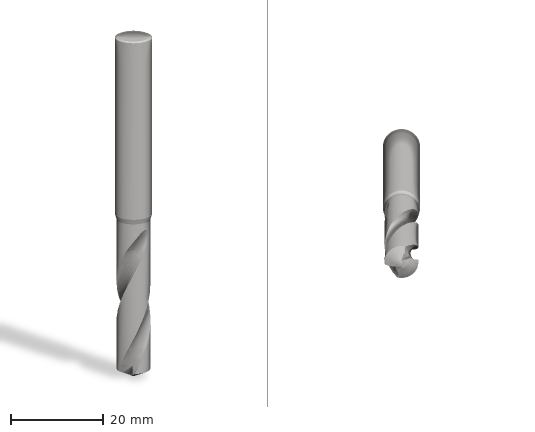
import cadquery as cq

total_length = 78.0
point_height = 1.8
head_top = 19.4
flute_helix_top = 29.6
flute_end = 34.55
neck_top = 36.1
shank_bottom = 37.3

shank_diameter = 8.0
drill_diameter = 7.3
end_chamfer = 0.5
end_chamfer_height = 0.2

flute_count = 2
flute_pitch = 46.8
flute_radius = 2.35
flute_center_radius = 4.3
flute_start_angle = 94.0
runout_outward_shift = 0.5
runout_sideways_shift = 3.75

gash_root = cq.Vector(-0.3, -0.6, 0.55)
gash_lip_corner = cq.Vector(2.2, -2.1, 1.5)
gash_heel_corner = cq.Vector(-0.6, -2.35, 1.25)
gash_top = cq.Vector(1.4, -1.55, 3.3)
gash_lower_overrun = 0.5

shank_radius = shank_diameter / 2
drill_radius = drill_diameter / 2
flute_angles = [flute_start_angle + i * 360 / flute_count for i in range(flute_count)]


def turned(profile):
    """Revolve a closed (radius, height) profile around the Z axis."""
    return cq.Workplane("XZ").polyline(profile).close().revolve(360, (0, 0, 0), (0, 1, 0))


def helical_flute(start_angle):
    """Twisted groove running from the tip to the start of the run-out."""
    twist = 360 * flute_helix_top / flute_pitch
    return (
        cq.Workplane("XY")
        .center(flute_center_radius, 0)
        .circle(flute_radius)
        .center(-flute_center_radius, 0)
        .twistExtrude(flute_helix_top, twist)
        .rotate((0, 0, 0), (0, 0, 1), start_angle)
    )


def flute_runout(start_angle):
    """Straight groove that follows on from the helix and leaves the drill sideways."""
    height = flute_end - flute_helix_top
    start = cq.Vector(flute_center_radius, 0, flute_helix_top)
    section = cq.Wire.makeCircle(flute_radius, start, cq.Vector(0, 0, 1))
    direction = cq.Vector(runout_outward_shift, runout_sideways_shift, height)
    groove = cq.Workplane(obj=cq.Solid.extrudeLinear(section, [], direction))
    end_angle = start_angle + 360 * flute_helix_top / flute_pitch
    return groove.rotate((0, 0, 0), (0, 0, 1), end_angle)


def web_gash():
    """Three-sided oblique prism whose lower edge is the floor of the V groove."""
    groove = gash_top - gash_root
    corners = [gash_root, gash_lip_corner, gash_heel_corner]
    section = cq.Wire.makePolygon([corner - groove * gash_lower_overrun for corner in corners], close=True)
    return cq.Workplane(obj=cq.Solid.extrudeLinear(section, [], groove * (1 + gash_lower_overrun)))


def make_head():
    """Cutting head: pointed cylinder with the lower part of the flutes and the gashes."""
    head = turned([(0, 0), (drill_radius, point_height), (drill_radius, head_top), (0, head_top)])
    for angle in flute_angles:
        head = head.cut(helical_flute(angle))
    for i in range(flute_count):
        head = head.cut(web_gash().rotate((0, 0, 0), (0, 0, 1), i * 360 / flute_count))
    return head


def make_body():
    """Fluted neck and plain shank above the cutting head."""
    body = turned([
        (0, head_top),
        (drill_radius, head_top),
        (drill_radius, neck_top),
        (shank_radius, shank_bottom),
        (shank_radius, total_length - end_chamfer_height),
        (shank_radius - end_chamfer, total_length),
        (0, total_length),
    ])
    for angle in flute_angles:
        body = body.cut(helical_flute(angle)).cut(flute_runout(angle))
    return body


head = make_head()
body = make_body()

result = cq.Compound.makeCompound([head.solids().val(), body.solids().val()])